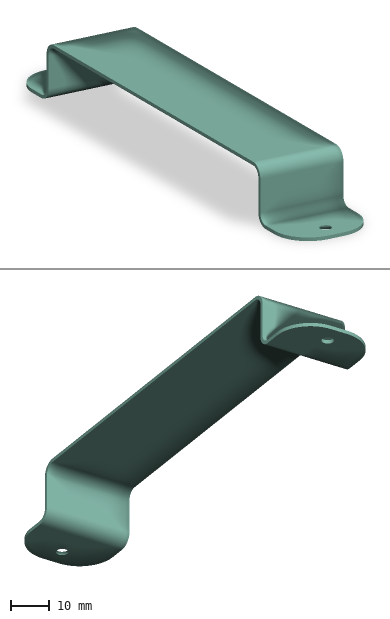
import cadquery as cq

length = 141.0
width = 25.0
height = 16.5
thickness = 1.0

bridge_length = 106.5
outer_bend_radius = 3.5
inner_bend_radius = outer_bend_radius - thickness

corner_radius = 10.0
hole_diameter = 3.2
hole_spacing = 130.0




def make_bent_strip():
    """Hat-shaped strip: two feet, two upright legs and a raised bridge."""
    half_length = length / 2
    half_bridge = bridge_length / 2
    half_inside = half_bridge - thickness
    outline = [
        (-half_length, 0),
        (-half_inside, 0),
        (-half_inside, height - thickness),
        (half_inside, height - thickness),
        (half_inside, 0),
        (half_length, 0),
        (half_length, thickness),
        (half_bridge, thickness),
        (half_bridge, height),
        (-half_bridge, height),
        (-half_bridge, thickness),
        (-half_length, thickness),
    ]
    strip = cq.Workplane("XZ").polyline(outline).close().extrude(width / 2, both=True)

    outer_bends = [(x, 0) for x in (-half_inside, half_inside)]
    outer_bends += [(x, height) for x in (-half_bridge, half_bridge)]
    inner_bends = [(x, thickness) for x in (-half_bridge, half_bridge)]
    inner_bends += [(x, height - thickness) for x in (-half_inside, half_inside)]
    strip = round_bends(strip, outer_bends, outer_bend_radius)
    return round_bends(strip, inner_bends, inner_bend_radius)


def round_bends(strip, bends, radius):
    """Fillet the edges along Y that pass through the given (X, Z) points."""
    for x, z in bends:
        strip = strip.edges(cq.selectors.NearestToPointSelector((x, 0, z))).fillet(radius)
    return strip


def round_feet(strip):
    """Round the four corners of the plan outline."""
    return strip.edges("|Z and (<X or >X)").fillet(corner_radius)


def drill_feet(strip):
    """Drill one screw hole through each foot."""
    holes = (
        cq.Workplane("XY")
        .pushPoints([(-hole_spacing / 2, 0), (hole_spacing / 2, 0)])
        .circle(hole_diameter / 2)
        .extrude(thickness)
    )
    return strip.cut(holes)


result = drill_feet(round_feet(make_bent_strip()))